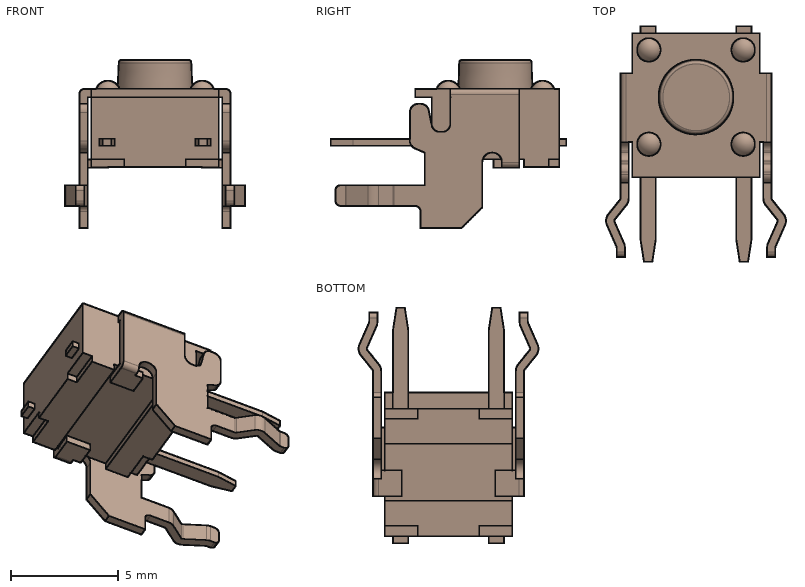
import cadquery as cq
import math


sheet = 0.4
bend_radius = 0.25

body_half = 2.98
cover_front = -3.74
body_underside = -3.29
pad_height = 0.36
pad_inner = 1.33
pad_notch_y = 0.48
pad_half_width = 1.44

button_height = 1.35
button_base_radius = 1.75
button_top_radius = 1.69
button_edge_radius = 0.14
dome_offset = 2.2
dome_radius = 0.55
dome_height = 0.38

lead_x = 2.23
lead_width = 0.72
lead_tip_width = 0.4
lead_top = -2.33
lead_thickness = 0.33
lead_rear = 3.31
lead_length = 11.0
lead_taper = 1.02

plate_outer = 3.53
plate_inner = plate_outer - sheet
plate_mid = plate_outer - sheet / 2
plate_rear = 1.12
plate_front = -2.1
slot_bottom = -2.01
slot_corner_y = -2.9
finger_top = -0.69
finger_rear_y = -3.17
finger_front = -3.99
finger_chin = -2.68
neck_front = -3.3
neck_top = -2.98
leg_front = -3.5
leg_bottom = -6.5
leg_chamfer = 0.98
relief_y = -0.15
relief_z = -3.42
relief_radius = 0.45
leg_rear = relief_y - relief_radius

hook_bottom = body_underside - sheet
hook_front = -0.1
hook_tip = 2.19

arm_top = -4.49
arm_height = 0.98
arm_bottom = arm_top - arm_height
arm_root = -4.18
arm_first_bend = -4.76
arm_peak = (4.28, -5.7)
arm_last_bend = -7.0
arm_tip_x = 3.71
arm_end = -7.47
arm_inner_radius = 0.09
arm_outer_radius = arm_inner_radius + sheet


def box(x0, x1, y0, y1, z0, z1):
    return cq.Workplane("XY").box(x1 - x0, y1 - y0, z1 - z0, centered=False).translate((x0, y0, z0))


def mirror_x(solid):
    return solid.union(solid.mirror("YZ"))


def round_edge(solid, midpoint, radius):
    return solid.edges(cq.NearestToPointSelector(midpoint)).fillet(radius)


def make_body():
    body = box(-body_half, body_half, -body_half, body_half, body_underside, 0)
    pad_bottom = body_underside - pad_height
    notch_y = body_half - pad_notch_y
    pad = box(-body_half, body_half, pad_inner, notch_y, pad_bottom, body_underside)
    pad = pad.union(box(-pad_half_width, pad_half_width, notch_y, body_half, pad_bottom, body_underside))
    return body.union(pad).union(pad.mirror("XZ"))


def make_cover():
    cover = box(-body_half, body_half, cover_front, body_half, -sheet, 0)
    wings = box(-plate_outer, plate_outer, plate_front, plate_rear, -sheet, 0)
    return cover.union(wings.edges("|Y and >Z").fillet(bend_radius))


def make_button():
    button = (
        cq.Workplane("XZ")
        .polyline([
            (0, -sheet),
            (button_base_radius, -sheet),
            (button_base_radius, 0),
            (button_top_radius, button_height),
            (0, button_height),
        ])
        .close()
        .revolve(360, (0, 0), (0, 1))
    )
    return button.faces(">Z").edges().fillet(button_edge_radius)


def make_domes():
    sphere_radius = (dome_radius**2 + dome_height**2) / (2 * dome_height)
    spheres = (
        cq.Workplane("XY")
        .workplane(offset=dome_height - sphere_radius)
        .rect(2 * dome_offset, 2 * dome_offset, forConstruction=True)
        .vertices()
        .sphere(sphere_radius)
    )
    return spheres.intersect(box(-body_half, body_half, -body_half, body_half, -sheet, dome_height))


def make_lead():
    tip_y = lead_rear - lead_length
    taper_y = tip_y + lead_taper
    return (
        cq.Workplane("XY")
        .workplane(offset=lead_top - lead_thickness)
        .polyline([
            (lead_x - lead_width / 2, lead_rear),
            (lead_x + lead_width / 2, lead_rear),
            (lead_x + lead_width / 2, taper_y),
            (lead_x + lead_tip_width / 2, tip_y),
            (lead_x - lead_tip_width / 2, tip_y),
            (lead_x - lead_width / 2, taper_y),
        ])
        .close()
        .extrude(lead_thickness)
    )


def make_side_plate():
    slot_rear_corner = (plate_front, slot_bottom)
    slot_front_corner = (slot_corner_y, slot_bottom)
    finger_rear_corner = (finger_rear_y, finger_top)
    finger_front_corner = (finger_front, finger_top)
    finger_chin_corner = (finger_front, finger_chin)
    arm_corner = (leg_front, arm_bottom)
    plate = (
        cq.Workplane("YZ")
        .workplane(offset=plate_inner)
        .moveTo(plate_rear, 0)
        .lineTo(plate_front, 0)
        .lineTo(*slot_rear_corner)
        .lineTo(*slot_front_corner)
        .lineTo(*finger_rear_corner)
        .lineTo(*finger_front_corner)
        .lineTo(*finger_chin_corner)
        .lineTo(neck_front, neck_top)
        .lineTo(neck_front, arm_top)
        .lineTo(arm_root, arm_top)
        .lineTo(arm_root, arm_bottom)
        .lineTo(*arm_corner)
        .lineTo(leg_front, leg_bottom)
        .lineTo(leg_rear - leg_chamfer, leg_bottom)
        .lineTo(leg_rear, leg_bottom + leg_chamfer)
        .lineTo(leg_rear, relief_z)
        .threePointArc((relief_y, relief_z + relief_radius), (relief_y + relief_radius, relief_z))
        .lineTo(relief_y + relief_radius, hook_bottom)
        .lineTo(plate_rear, hook_bottom)
        .close()
        .extrude(sheet)
    )
    large_rounds = [
        slot_rear_corner,
        slot_front_corner,
        finger_rear_corner,
        finger_front_corner,
        finger_chin_corner,
    ]
    for y, z in large_rounds:
        plate = round_edge(plate, (plate_mid, y, z), sheet)
    plate = round_edge(plate, (plate_mid, *arm_corner), bend_radius)

    cover_bend_y = (plate_rear + plate_front) / 2
    hook_bend_y = (plate_rear + relief_y + relief_radius) / 2
    plate = round_edge(plate, (plate_outer, cover_bend_y, 0), bend_radius)
    return round_edge(plate, (plate_outer, hook_bend_y, hook_bottom), bend_radius)


def make_hook():
    return box(hook_tip, plate_inner, hook_front, plate_rear, hook_bottom, body_underside)


def make_arm():
    outer = [
        (plate_outer, arm_root),
        (plate_outer, arm_first_bend),
        arm_peak,
        (arm_tip_x, arm_last_bend),
        (arm_tip_x, arm_end),
    ]
    angles = [math.atan2(b[0] - a[0], a[1] - b[1]) for a, b in zip(outer, outer[1:])]
    inner = [(plate_inner, arm_root)]
    for (x, y), before, after in zip(outer[1:-1], angles, angles[1:]):
        mean = (before + after) / 2
        reach = sheet / math.cos((after - before) / 2)
        inner.append((x - reach * math.cos(mean), y - reach * math.sin(mean)))
    inner.append((arm_tip_x - sheet, arm_end))

    arm = (
        cq.Workplane("XY")
        .workplane(offset=arm_bottom)
        .polyline(outer + inner[::-1])
        .close()
        .extrude(arm_height)
    )
    arm_mid_z = arm_bottom + arm_height / 2
    for bend in (1, 2, 3):
        bends_outward = angles[bend] > angles[bend - 1]
        outer_radius = arm_inner_radius if bends_outward else arm_outer_radius
        inner_radius = arm_outer_radius if bends_outward else arm_inner_radius
        arm = round_edge(arm, (*outer[bend], arm_mid_z), outer_radius)
        arm = round_edge(arm, (*inner[bend], arm_mid_z), inner_radius)
    return arm.faces("<Y").edges("|X").fillet(bend_radius)


side_parts = make_side_plate().union(make_hook()).union(make_arm()).union(make_lead())
result = (
    make_body()
    .union(make_cover())
    .union(make_button())
    .union(make_domes())
    .union(mirror_x(side_parts))
)